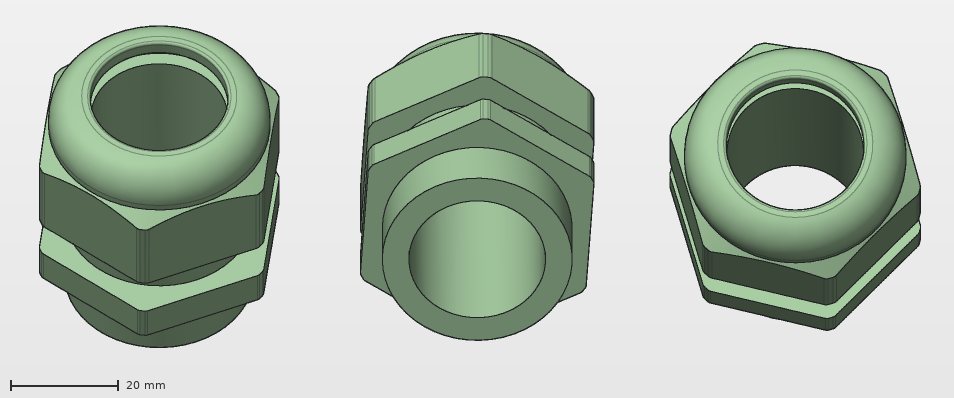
import cadquery as cq
import math

total_height = 52.0
across_flats = 42.0
across_corners = 47.7

body_radius = 17.65
bore_radius = 12.7
collar_bottom = 10.95
collar_top = 18.05
collar_corner_reach = across_corners / 2
collar_edge_radius = 1.0

nut_bottom = 26.1
nut_corner_reach = 23.75
nut_edge_radius = 1.45
shoulder_corner_z = 41.6
dome_base_z = 43.8
dome_tangent_z = 45.1
dome_radius = 20.6
rim_radius = 14.4

mouth_radius = 12.8
mouth_rounding = 0.5
lip_bottom = 49.2
cavity_radius = 16.0
upper_ledge_z = 46.35
seat_radius = 15.25
seat_z = 46.05

sharp_corner_radius = across_flats / 2 / math.cos(math.pi / 6)


def hexagonal_prism(corner_diameter, bottom, top):
    return cq.Workplane("XY", origin=(0, 0, bottom)).polygon(6, corner_diameter).extrude(top - bottom)


def hexagon(corner_reach, edge_radius, bottom, top):
    """Hexagonal prism with flats facing +X and -X; each corner is cut flat, then rounded.

    corner_reach is the distance from the axis to the flat cut across a corner.
    """
    corner_cutter = hexagonal_prism(2 * corner_reach / math.cos(math.pi / 6), bottom, top)
    return (
        hexagonal_prism(2 * sharp_corner_radius, bottom, top)
        .rotate((0, 0, 0), (0, 0, 1), 30)
        .intersect(corner_cutter)
        .edges("|Z")
        .fillet(edge_radius)
    )


def cylinder(radius, bottom, top):
    return cq.Workplane("XY", origin=(0, 0, bottom)).circle(radius).extrude(top - bottom)


def nut_envelope():
    """Turned outline of the cap nut: wide cylinder, shoulder cone, dome and flat rim."""
    shoulder_slope = (dome_base_z - shoulder_corner_z) / (nut_corner_reach - dome_radius)
    shoulder_bottom = dome_base_z - shoulder_slope * (sharp_corner_radius - dome_radius)
    return (
        cq.Workplane("XZ")
        .moveTo(0, nut_bottom)
        .lineTo(sharp_corner_radius, nut_bottom)
        .lineTo(sharp_corner_radius, shoulder_bottom)
        .lineTo(dome_radius, dome_base_z)
        .lineTo(dome_radius, dome_tangent_z)
        .tangentArcPoint((rim_radius, total_height), relative=False)
        .lineTo(0, total_height)
        .close()
        .revolve(360, (0, 0, 0), (0, 1, 0))
    )


def cap_nut():
    blank = hexagon(nut_corner_reach, nut_edge_radius, nut_bottom, dome_base_z)
    blank = blank.union(cylinder(dome_radius, nut_bottom, total_height))
    return blank.intersect(nut_envelope())


def inner_space():
    """Through bore, stepped seat, wider cavity and the rounded mouth, as one turned shape."""
    rounding_mid = mouth_rounding * (1 - math.sqrt(0.5))
    return (
        cq.Workplane("XZ")
        .lineTo(bore_radius, 0)
        .lineTo(bore_radius, seat_z)
        .lineTo(seat_radius, seat_z)
        .lineTo(seat_radius, upper_ledge_z)
        .lineTo(cavity_radius, upper_ledge_z)
        .lineTo(cavity_radius, lip_bottom)
        .lineTo(mouth_radius, lip_bottom)
        .lineTo(mouth_radius, total_height - mouth_rounding)
        .threePointArc(
            (mouth_radius + rounding_mid, total_height - rounding_mid),
            (mouth_radius + mouth_rounding, total_height),
        )
        .lineTo(0, total_height)
        .close()
        .revolve(360, (0, 0, 0), (0, 1, 0))
    )


body = cylinder(body_radius, 0, dome_base_z)
collar = hexagon(collar_corner_reach, collar_edge_radius, collar_bottom, collar_top)
result = body.union(collar).union(cap_nut()).cut(inner_space())